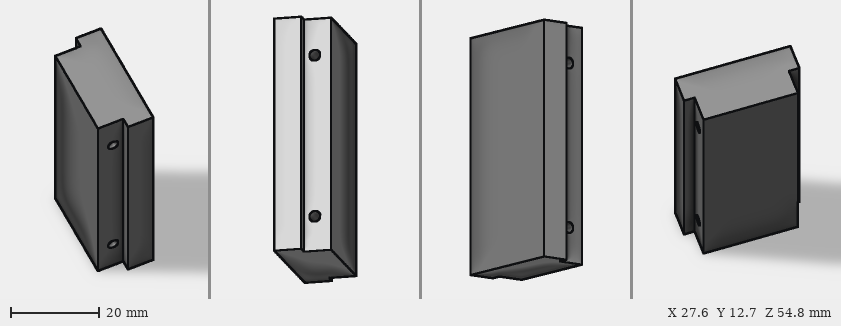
import cadquery as cq

length = 54.8
flange_width = 27.65
depth = 12.7

body_width = 22.65
flange_depth = depth / 2

hole_diameter = 2.5
hole_from_front = 3.85
hole_spacing = 38.0
lower_hole_height = 8.15


def box_on_base(width, box_depth, front_y):
    """Full-length block centred on X, starting at front_y and standing on Z = 0."""
    return (
        cq.Workplane("XY")
        .box(width, box_depth, length, centered=(True, False, False))
        .translate((0, front_y, 0))
    )


def cross_hole(height):
    """Cylinder along X that passes through the whole width of the body."""
    return (
        cq.Workplane("YZ")
        .center(hole_from_front, height)
        .circle(hole_diameter / 2)
        .extrude(body_width, both=True)
    )


body = box_on_base(body_width, depth, 0)
flange = box_on_base(flange_width, flange_depth, depth - flange_depth)
result = body.union(flange)

for hole_height in (lower_hole_height, lower_hole_height + hole_spacing):
    result = result.cut(cross_hole(hole_height))